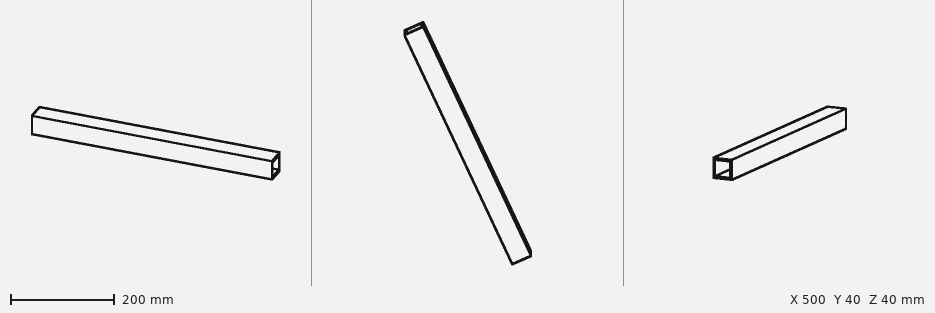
import cadquery as cq

length = 500.0
outer_side = 40.0
wall = 4.0
inner_side = outer_side - 2 * wall

result = (
    cq.Workplane("YZ")
    .rect(outer_side, outer_side)
    .rect(inner_side, inner_side)
    .extrude(length / 2, both=True)
)